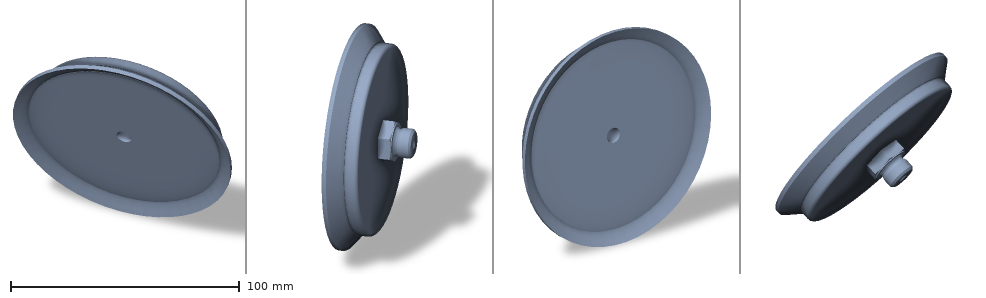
import cadquery as cq
import math


lip_dia = 100.0
lip_height = 2.0
band_dia = 85.0
skirt_top = 8.0
skirt_top_dia = 85.6
cup_height = 14.0
band_groove_width = 0.5
band_groove_depth = 0.2
band_fillet = 1.6

disc_dia = 88.0
disc_depth = 3.5
disc_gap = 0.2

hex_sides = 6
hex_flats = 17.0
hex_height = 6.0
hex_collar_height = 0.4
hex_chamfer_angle = 15.0
thread_dia = 13.16
thread_chamfer = 1.0
undercut_dia = 11.8
undercut_length = 2.0
thread_runout = 0.9
neck_edge_dia = 12.5
neck_flare_height = 0.5
neck_root_dia = 13.4
fitting_height = 14.0

bore_dia = 7.0
passage_dia = 4.0

hex_top = cup_height + hex_height
total_height = cup_height + fitting_height


def revolve_about_y(outline):
    """Turn a closed half outline, drawn as radius against y, into a solid."""
    return outline.close().revolve(360, (0, 0, 0), (0, 1, 0))


def axial_cylinder(diameter, start, end):
    """Cylinder on the Y axis between two heights."""
    circle = cq.Workplane("XZ", origin=(0, start, 0)).circle(diameter / 2)
    return circle.extrude(start - end)


def make_cup():
    """Cup body: flared skirt, grooved and rounded band, and a recessed inner disc face."""
    lip_radius = lip_dia / 2
    band_radius = band_dia / 2
    groove_radius = band_radius - band_groove_depth
    disc_radius = disc_dia / 2
    gap_height = disc_depth + disc_gap
    fillet_inset = band_fillet * (1 - math.sqrt(0.5))
    outline = (
        cq.Workplane("XY")
        .moveTo(0, disc_depth)
        .lineTo(disc_radius - disc_gap, disc_depth)
        .lineTo(disc_radius - disc_gap, gap_height)
        .lineTo(disc_radius, gap_height)
        .lineTo(lip_radius, 0)
        .lineTo(lip_radius, lip_height)
        .lineTo(skirt_top_dia / 2, skirt_top)
        .lineTo(groove_radius, skirt_top)
        .lineTo(groove_radius, skirt_top + band_groove_width)
        .lineTo(band_radius, skirt_top + band_groove_width)
        .lineTo(band_radius, cup_height - band_fillet)
        .threePointArc(
            (band_radius - fillet_inset, cup_height - fillet_inset),
            (band_radius - band_fillet, cup_height),
        )
        .lineTo(0, cup_height)
    )
    return revolve_about_y(outline)


def make_hex():
    """Hexagon with corners on +Z and -Z, its top turned down to a round collar."""
    corner_dia = hex_flats / math.cos(math.pi / hex_sides)
    prism = (
        cq.Workplane("XZ", origin=(0, cup_height, 0))
        .transformed(rotate=(0, 0, 90))
        .polygon(hex_sides, corner_dia)
        .extrude(-hex_height)
    )
    collar_base = hex_top - hex_collar_height
    corner_drop = (corner_dia - hex_flats) / 2 * math.tan(math.radians(hex_chamfer_angle))
    envelope = (
        cq.Workplane("XY")
        .moveTo(0, cup_height)
        .lineTo(corner_dia / 2, cup_height)
        .lineTo(corner_dia / 2, collar_base - corner_drop)
        .lineTo(hex_flats / 2, collar_base)
        .lineTo(hex_flats / 2, hex_top)
        .lineTo(0, hex_top)
    )
    return prism.intersect(revolve_about_y(envelope))


def make_stud():
    """Plain thread cylinder with a concave undercut next to the hexagon."""
    thread_radius = thread_dia / 2
    undercut_radius = undercut_dia / 2
    thread_start = hex_top + undercut_length
    neck_start = hex_top + neck_flare_height
    neck_edge_radius = neck_edge_dia / 2
    neck_middle = (neck_start + thread_start) / 2
    outline = (
        cq.Workplane("XY")
        .moveTo(0, hex_top)
        .lineTo(neck_root_dia / 2, hex_top)
        .lineTo(neck_edge_radius, neck_start)
        .threePointArc((undercut_radius, neck_middle), (neck_edge_radius, thread_start))
        .lineTo(thread_radius, thread_start + thread_runout)
        .lineTo(thread_radius, total_height - thread_chamfer)
        .lineTo(thread_radius - thread_chamfer, total_height)
        .lineTo(0, total_height)
    )
    return revolve_about_y(outline)


def make_passage():
    """Stepped air passage: wide through the cup, narrow through the fitting."""
    bore = axial_cylinder(bore_dia, 0, cup_height)
    return bore.union(axial_cylinder(passage_dia, 0, total_height))


result = make_cup().union(make_hex()).union(make_stud()).cut(make_passage())